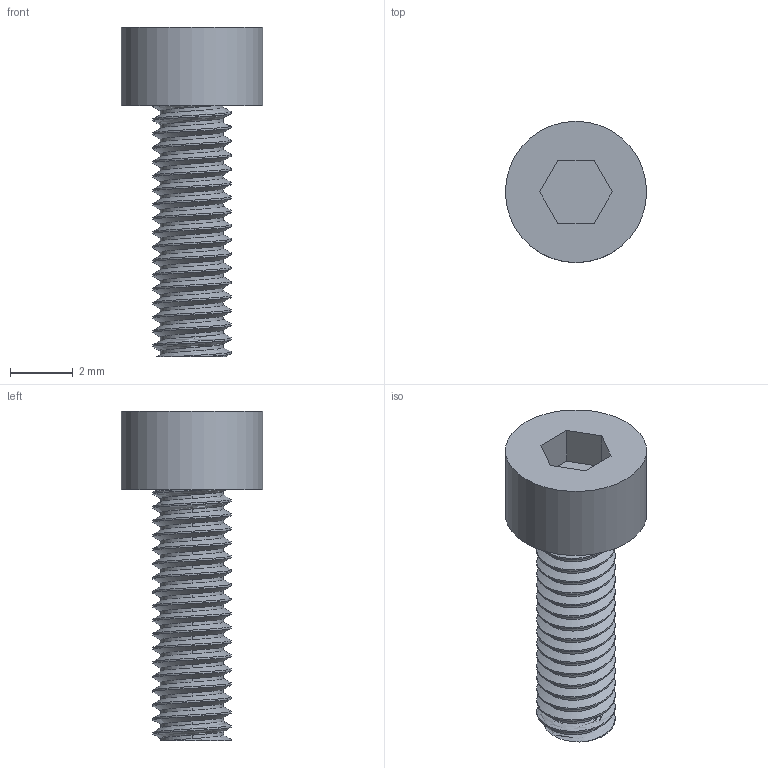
import cadquery as cq
import math

thread_diameter = 2.5
thread_pitch = 0.45
shank_length = 8.0
head_diameter = 4.5
head_height = 2.5
socket_across_flats = 2.0
socket_depth = 1.2

flank_angle = math.radians(30)
sharp_thread_height = thread_pitch / 2 / math.tan(flank_angle)
thread_depth = sharp_thread_height * 5 / 8
crest_width = thread_pitch / 8
crest_radius = thread_diameter / 2
root_radius = crest_radius - thread_depth

ridge_overlap = 0.05
ridge_overrun = thread_pitch
core_overrun = 3 * thread_pitch


def make_head():
    """Cylindrical head with a hexagonal socket whose corners point along X."""
    head = cq.Workplane("XY").circle(head_diameter / 2).extrude(head_height)
    socket_across_corners = socket_across_flats / math.cos(math.pi / 6)
    socket = (
        cq.Workplane("XY", origin=(0, 0, head_height - socket_depth))
        .polygon(6, socket_across_corners)
        .extrude(socket_depth)
    )
    return head.cut(socket)


def make_thread_ridge():
    """Right-hand helical ridge whose crest meets the underside of the head at +X."""
    turns_below_head = math.ceil((shank_length + ridge_overrun) / thread_pitch)
    start_z = -turns_below_head * thread_pitch
    helix_height = ridge_overrun - start_z

    inner_radius = root_radius - ridge_overlap
    half_crest = crest_width / 2
    half_base = half_crest + (crest_radius - inner_radius) * math.tan(flank_angle)
    helix = cq.Wire.makeHelix(thread_pitch, helix_height, root_radius)
    ridge = (
        cq.Workplane("XZ")
        .moveTo(inner_radius, -half_base)
        .lineTo(crest_radius, -half_crest)
        .lineTo(crest_radius, half_crest)
        .lineTo(inner_radius, half_base)
        .close()
        .sweep(cq.Workplane(obj=helix), isFrenet=True)
    )
    return ridge.translate((0, 0, start_z))


def make_shank():
    """Fully threaded shank, cut square at the tip and at the head."""
    core = (
        cq.Workplane("XY", origin=(0, 0, core_overrun))
        .circle(root_radius)
        .extrude(-shank_length - 2 * core_overrun)
    )
    envelope = cq.Workplane("XY").circle(head_diameter / 2).extrude(-shank_length)
    return core.union(make_thread_ridge()).intersect(envelope)


result = make_head().union(make_shank()).rotate((0, 0, 0), (0, 0, 1), 180)